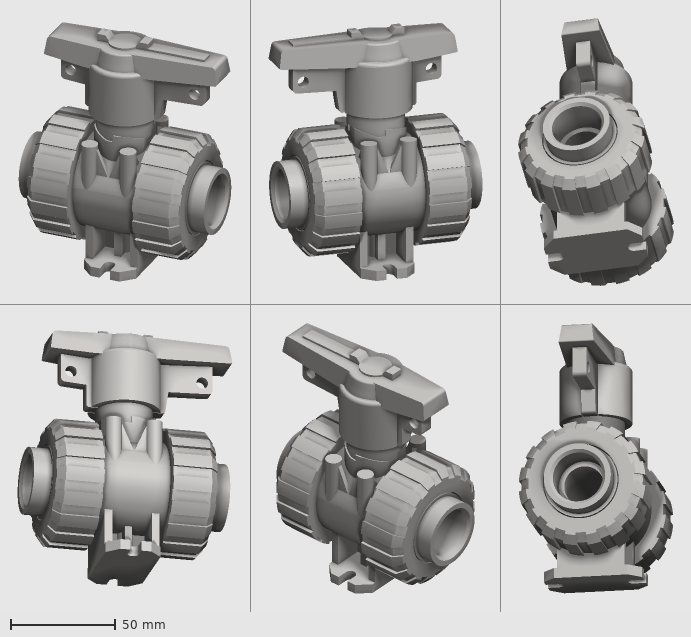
import cadquery as cq
import math


overshoot = 1.2
selection_margin = 0.1

barrel_radius = 23.9
barrel_half_length = 28.7
flow_radius = 9.7

neck_radius = 14.8
neck_half_width = 13.1

post_radius = 4.1
post_x = 10.0
post_y = 19.2
post_top = 28.1
gusset_thickness = 2.1
gusset_top = 25.7
gusset_bottom = 13.1
gusset_reach = 9.5
gusset_skew = 20.0

foot_bottom = -40.2
foot_thickness = 5.0
foot_half_x = 13.6
foot_half_y = 24.0
foot_chamfer = 6.0
foot_slot_radius = 2.7
foot_slot_center_y = 18.5
leg_thickness = 4.0
leg_half_y = 16.4
web_thickness = 3.6
web_half_y = 8.8
web_boss_radius = 4.2

ratchet_count = 4
ratchet_high = 32.2
ratchet_low = 28.9
ratchet_flat = 3.8

nut_radius = 62.0 / 2
nut_inner_x = 17.1
nut_outer_x = 39.7
nut_hole_radius = 18.5
nut_chamfer_x = 3.6
nut_chamfer_r = 4.1
groove_count = 16
groove_width = 5.3
groove_depth = 1.37

flange_end_x = 34.0
shoulder_radius = 17.9
pipe_radius = 16.4
pipe_end_x = 48.5
socket_radius = 12.2
socket_mouth_radius = 13.6
socket_start_x = 31.0
socket_chamfer = socket_mouth_radius - socket_radius

collar_radius = 14.0
collar_top = 50.8
hub_radius = 17.5
hub_bottom = 39.4
hub_shoulder = 66.8
hub_shoulder_round = 1.9
hub_cone_base_radius = 15.2
hub_cone_base_round = 0.4
hub_cone_top_radius = 13.1
hub_cone_round = 1.1
hub_slot_width = 8.2
hub_slot_top = 65.9

grip_base = 64.4
grip_top = 75.5
grip_left_x = -38.7
grip_right_x = 51.8
grip_left_half_y = 9.5
grip_middle_half_y = 12.5
grip_right_half_y = 8.8
grip_draft = 8.5
grip_end_round = 1.9
grip_lip_round = 0.6
grip_level_x = 17.1
grip_left_rise = 1.7
grip_right_rise = 1.9

fin_thickness = 6.8
fin_left_x = -32.0
fin_right_x = 43.0
fin_end_z = 51.6
fin_left_step_x = -19.5
fin_right_step_x = 21.1
fin_right_foot_x = 19.3
fin_round = 2.1
fin_foot_round = 1.5
fin_hole_radius = 2.81
fin_hole_z = 57.0
fin_hole_xs = (-27.0, 37.9)

cap_radius = 8.0
cap_top = 76.5
strip_width = 6.9
pointer_width = 6.3
pointer_top = 79.2
pointer_round = 0.4
pointer_inner_x = 6.9
pointer_ridge_x = 9.0
pointer_outer_x = 13.4


def cylinder_z(radius, bottom, top):
    """Upright cylinder on the stem axis."""
    return cq.Workplane("XY").workplane(offset=bottom).circle(radius).extrude(top - bottom)


def prism_y(points, thickness):
    """XZ outline extruded to a plate that is centred on the XZ plane."""
    return cq.Workplane("XZ").polyline(points).close().extrude(thickness / 2, both=True)


def revolve_x(points):
    """Solid of revolution about the flow axis from (x, radius) points."""
    return cq.Workplane("XY").polyline(points).close().revolve(360, (0, 0, 0), (1, 0, 0))


def box_between(x_range, y_range, z_range):
    """Box given by its limits along each axis."""
    size = [limits[1] - limits[0] for limits in (x_range, y_range, z_range)]
    corner = (x_range[0], y_range[0], z_range[0])
    return cq.Workplane("XY").box(*size, centered=False).translate(corner)


def ratchet_blank():
    """Block whose top has four equal ramps, one per quadrant, falling counter-clockwise."""
    reach = neck_radius + overshoot
    ramp = [
        (-reach, 0),
        (0, 0),
        (0, ratchet_low),
        (-ratchet_flat, ratchet_low),
        (-collar_radius, ratchet_high),
        (-reach, ratchet_high),
    ]
    quadrant = cq.Workplane("XZ").polyline(ramp).close().extrude(reach)
    blank = quadrant
    for index in range(1, ratchet_count):
        blank = blank.union(quadrant.rotate((0, 0, 0), (0, 0, 1), index * 360 / ratchet_count))
    return blank


def neck():
    """Round neck with two flats and the ratchet ramps on top."""
    flats = box_between(
        (-neck_half_width, neck_half_width), (-neck_radius, neck_radius), (0, ratchet_high)
    )
    return cylinder_z(neck_radius, 0, ratchet_high).intersect(flats).intersect(ratchet_blank())


def post_with_gussets():
    """Post at the -X -Y corner, with one gusset along X and one leaning inwards along Y."""
    post = cylinder_z(post_radius, 0, post_top)
    gusset = prism_y(
        [
            (0, 0),
            (gusset_reach, 0),
            (gusset_reach, gusset_bottom),
            (post_radius, gusset_top),
            (0, gusset_top),
        ],
        gusset_thickness,
    )
    inward_gusset = gusset.rotate((0, 0, 0), (0, 0, 1), 90 + gusset_skew)
    return post.union(gusset).union(inward_gusset).translate((-post_x, -post_y, 0))


def posts():
    """Four posts, mirrored about both vertical planes."""
    side = post_with_gussets()
    side = side.union(side.mirror("YZ"))
    return side.union(side.mirror("XZ"))


def foot():
    """Mounting plate with two open slots, carried by two legs and a cross-shaped web."""
    foot_top = foot_bottom + foot_thickness
    plate = box_between(
        (-foot_half_x, foot_half_x), (-foot_half_y, foot_half_y), (foot_bottom, foot_top)
    )
    plate = plate.edges("|Z").chamfer(foot_chamfer)
    for side in (-1, 1):
        slot_run = foot_half_y - foot_slot_center_y
        slot_middle_y = side * (foot_slot_center_y + slot_run)
        slot = (
            cq.Workplane("XY", origin=(0, slot_middle_y, foot_bottom))
            .slot2D(2 * (slot_run + foot_slot_radius), 2 * foot_slot_radius, 90)
            .extrude(foot_thickness)
        )
        plate = plate.cut(slot)

    leg_inner_x = foot_half_x - leg_thickness
    leg = box_between((leg_inner_x, foot_half_x), (-leg_half_y, leg_half_y), (foot_top, 0))
    half_web = web_thickness / 2
    cross_web = box_between((-foot_half_x, foot_half_x), (-half_web, half_web), (foot_top, 0))
    long_web = box_between((-half_web, half_web), (-web_half_y, web_half_y), (foot_top, 0))
    boss = cylinder_z(web_boss_radius, foot_top, 0)
    return plate.union(leg).union(leg.mirror("YZ")).union(cross_web).union(long_web).union(boss)


def make_body():
    """Barrel with neck, posts and foot, bored through along the flow axis."""
    barrel = revolve_x(
        [
            (-barrel_half_length, 0),
            (barrel_half_length, 0),
            (barrel_half_length, barrel_radius),
            (-barrel_half_length, barrel_radius),
        ]
    )
    bore = cq.Workplane("YZ").circle(flow_radius).extrude(barrel_half_length, both=True)
    return barrel.union(neck()).union(posts()).union(foot()).cut(bore)


def nut_blank(radius):
    """Solid nut outline with its chamfered outer end, on the +X side."""
    return revolve_x(
        [
            (nut_inner_x, 0),
            (nut_outer_x, 0),
            (nut_outer_x, radius - nut_chamfer_r),
            (nut_outer_x - nut_chamfer_x, radius),
            (nut_inner_x, radius),
        ]
    )


def make_nut():
    """Union nut on the +X side with grip grooves around its rim."""
    nut = nut_blank(nut_radius)
    groove_bar = box_between(
        (nut_inner_x, nut_outer_x), (-groove_width / 2, groove_width / 2), (0, nut_radius + overshoot)
    )
    groove = groove_bar.cut(nut_blank(nut_radius - groove_depth))
    for index in range(groove_count):
        nut = nut.cut(groove.rotate((0, 0, 0), (1, 0, 0), index * 360 / groove_count))
    cavity = revolve_x(
        [
            (nut_inner_x, 0),
            (nut_outer_x, 0),
            (nut_outer_x, nut_hole_radius),
            (flange_end_x, nut_hole_radius),
            (flange_end_x, barrel_radius),
            (nut_inner_x, barrel_radius),
        ]
    )
    return nut.cut(cavity)


def make_connector():
    """Flanged pipe end on the +X side with a chamfered socket."""
    return revolve_x(
        [
            (barrel_half_length, flow_radius),
            (barrel_half_length, barrel_radius),
            (flange_end_x, barrel_radius),
            (flange_end_x, shoulder_radius),
            (nut_outer_x, shoulder_radius),
            (nut_outer_x, pipe_radius),
            (pipe_end_x, pipe_radius),
            (pipe_end_x, socket_mouth_radius),
            (pipe_end_x - socket_chamfer, socket_radius),
            (socket_start_x, socket_radius),
            (socket_start_x, flow_radius),
        ]
    )


def grip():
    """Tapered lever with drafted sides and an underside that rises towards both ends."""
    outline = [
        (grip_left_x, -grip_left_half_y),
        (0, -grip_middle_half_y),
        (grip_right_x, -grip_right_half_y),
        (grip_right_x, grip_right_half_y),
        (0, grip_middle_half_y),
        (grip_left_x, grip_left_half_y),
    ]
    lever = (
        cq.Workplane("XY", origin=(0, 0, grip_base))
        .polyline(outline)
        .close()
        .extrude(grip_top - grip_base, taper=grip_draft)
    )
    lever = lever.faces(">Z").edges("|Y").fillet(grip_end_round)
    for end_x, rise in ((grip_left_x, grip_left_rise), (grip_right_x, grip_right_rise)):
        level_x = math.copysign(grip_level_x, end_x)
        wedge = [(level_x, grip_base), (end_x, grip_base), (end_x, grip_base + rise)]
        lever = lever.cut(prism_y(wedge, 3 * grip_middle_half_y))
    for end_face in ("<X", ">X"):
        lever = lever.faces(end_face).edges("<Z").fillet(grip_lip_round)
    return lever


def hub():
    """Round hub with a conical crown."""
    crown = (
        cq.Workplane("XZ")
        .polyline(
            [
                (0, hub_shoulder),
                (hub_cone_base_radius, hub_shoulder),
                (hub_cone_top_radius, grip_top),
                (0, grip_top),
            ]
        )
        .close()
        .revolve(360, (0, 0, 0), (0, 1, 0))
    )
    solid = cylinder_z(hub_radius, hub_bottom, hub_shoulder).union(crown)
    shoulder_level = cq.selectors.BoxSelector(
        (-hub_radius, -hub_radius, hub_shoulder - selection_margin),
        (hub_radius, hub_radius, hub_shoulder + selection_margin),
    )
    rim = solid.edges("%CIRCLE").edges(shoulder_level).edges(cq.selectors.RadiusNthSelector(-1))
    solid = rim.fillet(hub_shoulder_round)
    crown_foot = solid.edges("%CIRCLE").edges(shoulder_level).edges(cq.selectors.RadiusNthSelector(0))
    solid = crown_foot.fillet(hub_cone_base_round)
    return solid.faces(">Z").edges().fillet(hub_cone_round)


def fin():
    """Central plate below the grip, stepped down beside the hub, with two eyelets."""
    outline = [
        (fin_left_x, hub_shoulder),
        (fin_left_x, fin_end_z),
        (fin_left_step_x, collar_top),
        (fin_left_step_x, hub_bottom),
        (fin_right_foot_x, hub_bottom),
        (fin_right_step_x, collar_top),
        (fin_right_x, fin_end_z),
        (fin_right_x, hub_shoulder),
    ]
    plate = prism_y(outline, fin_thickness)
    end_corners = cq.selectors.BoxSelector(
        (fin_left_x - selection_margin, -fin_thickness, fin_end_z - selection_margin),
        (fin_right_x + selection_margin, fin_thickness, fin_end_z + selection_margin),
    )
    plate = plate.edges(end_corners).fillet(fin_round)
    plate = plate.faces("<Z").edges("|Y").fillet(fin_foot_round)
    eyelets = (
        cq.Workplane("XZ")
        .pushPoints([(x, fin_hole_z) for x in fin_hole_xs])
        .circle(fin_hole_radius)
        .extrude(fin_thickness, both=True)
    )
    return plate.cut(eyelets)


def top_marks():
    """Round cap, direction strip and two pointers on top of the grip."""
    cap = cylinder_z(cap_radius, grip_top, cap_top)
    strip = box_between(
        (0, fin_right_x), (-strip_width / 2, strip_width / 2), (grip_top, cap_top)
    )
    pointer_outline = [
        (pointer_inner_x, grip_top),
        (pointer_inner_x, cap_top),
        (pointer_ridge_x, pointer_top),
        (pointer_outer_x, pointer_top),
        (pointer_outer_x, grip_top),
    ]
    right_pointer = prism_y(pointer_outline, strip_width)
    right_pointer = right_pointer.faces(">Z").edges("|Y").fillet(pointer_round)
    left_pointer = prism_y(pointer_outline, pointer_width).mirror("YZ")
    left_pointer = left_pointer.faces(">Z").edges("|Y").fillet(pointer_round)
    return cap.union(strip).union(right_pointer).union(left_pointer)


def make_handle():
    """Slotted hub and grip, joined by the fin to the collar that rides on the neck."""
    slot = box_between(
        (-hub_radius, hub_radius),
        (-hub_slot_width / 2, hub_slot_width / 2),
        (hub_bottom, hub_slot_top),
    )
    collar = cylinder_z(collar_radius, ratchet_low, collar_top).cut(ratchet_blank())
    shell = hub().union(grip()).cut(slot)
    return shell.union(collar).union(fin()).union(top_marks())


body = make_body()
handle = make_handle()
nuts = []
connectors = []
for turn in (0, 180):
    nuts.append(make_nut().rotate((0, 0, 0), (0, 0, 1), turn))
    connectors.append(make_connector().rotate((0, 0, 0), (0, 0, 1), turn))

result = cq.Compound.makeCompound(
    [
        body.val(),
        handle.val(),
        *[nut.val() for nut in nuts],
        *[connector.val() for connector in connectors],
    ]
)